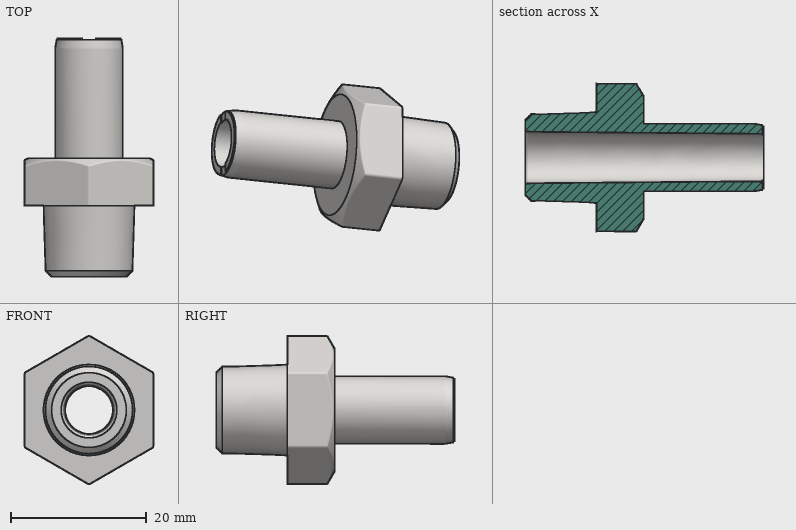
import cadquery as cq
import math

THREAD_LENGTH = 10.5
HEX_LENGTH = 7.0
STEM_LENGTH = 17.43
LIP_HEIGHT = 0.22

THREAD_BASE_RADIUS = 6.71
THREAD_TAPER = 1 / 32
THREAD_FACE_RADIUS = 5.5
THREAD_CHAMFER = 0.92

HEX_SIDES = 6
HEX_HALF_ANGLE = 180 / HEX_SIDES
ACROSS_FLATS = 19.0
HEX_CORNER_FILLET = 0.5
HEX_FACE_RADIUS = 8.95
HEX_CHAMFER_ANGLE = 30.0
HEX_CHAMFER_FILLET = 0.25

STEM_RADIUS = 5.0
STEM_CHAMFER_LENGTH = 1.27
STEM_CHAMFER_ANGLE = 10.0
STEM_CHAMFER_FILLET = 1.6
LIP_RADIUS = 4.68
LIP_GAP_WIDTH = 2.0

BORE_ENTRY_RADIUS = 3.8
BORE_EXIT_RADIUS = 3.5
BORE_CHAMFER = 0.3
BORE_CHAMFER_FILLET = 0.25

HEX_END = THREAD_LENGTH + HEX_LENGTH
STEM_END = HEX_END + STEM_LENGTH
TOTAL_LENGTH = STEM_END + LIP_HEIGHT


def revolve_profile(points):
    """Revolve a closed (radius, y) outline about the Y axis."""
    return cq.Workplane("XY").polyline(points).close().revolve(360, (0, 0), (0, 1))


def circle_edges_at(body, y, radius):
    """Select the circular edges of a body centred on the axis at height y with a given radius."""
    tolerance = 1e-3
    reach = radius + tolerance
    low_corner = (-reach, y - tolerance, -reach)
    high_corner = (reach, y + tolerance, reach)
    return body.edges(cq.selectors.BoxSelector(low_corner, high_corner, boundingbox=True))


def cylinder_along_y(start, length, radius):
    return cq.Workplane("XZ", origin=(0, start, 0)).circle(radius).extrude(-length)


def make_thread():
    chamfer_radius = THREAD_BASE_RADIUS - THREAD_TAPER * (THREAD_LENGTH - THREAD_CHAMFER)
    return revolve_profile([
        (0, 0),
        (THREAD_FACE_RADIUS, 0),
        (chamfer_radius, THREAD_CHAMFER),
        (THREAD_BASE_RADIUS, THREAD_LENGTH),
        (0, THREAD_LENGTH),
    ])


def make_hexagon():
    """Hexagon with flats facing +X and -X, chamfered on its stem side."""
    across_corners = ACROSS_FLATS / math.cos(math.radians(HEX_HALF_ANGLE))
    prism = (
        cq.Workplane("XZ", origin=(0, THREAD_LENGTH, 0))
        .transformed(rotate=(0, 0, HEX_HALF_ANGLE))
        .polygon(HEX_SIDES, across_corners)
        .extrude(-HEX_LENGTH)
        .edges("|Y")
        .fillet(HEX_CORNER_FILLET)
    )
    slope = math.tan(math.radians(HEX_CHAMFER_ANGLE))
    chamfer_depth = (across_corners - HEX_FACE_RADIUS) * slope
    chamfer_cone = revolve_profile([
        (0, THREAD_LENGTH - chamfer_depth),
        (across_corners, THREAD_LENGTH - chamfer_depth),
        (across_corners, HEX_END - chamfer_depth),
        (HEX_FACE_RADIUS, HEX_END),
        (0, HEX_END),
    ])
    hexagon = prism.intersect(chamfer_cone)
    return hexagon.faces("%CONE").edges("not %CIRCLE").fillet(HEX_CHAMFER_FILLET)


def make_stem():
    chamfer_start = STEM_END - STEM_CHAMFER_LENGTH
    chamfer_drop = STEM_CHAMFER_LENGTH * math.tan(math.radians(STEM_CHAMFER_ANGLE))
    stem = revolve_profile([
        (0, HEX_END),
        (STEM_RADIUS, HEX_END),
        (STEM_RADIUS, chamfer_start),
        (STEM_RADIUS - chamfer_drop, STEM_END),
        (0, STEM_END),
    ])
    return circle_edges_at(stem, chamfer_start, STEM_RADIUS).fillet(STEM_CHAMFER_FILLET)


def make_end_lip():
    """Raised end pad, split in two by a straight gap along Z."""
    pad = cylinder_along_y(STEM_END, LIP_HEIGHT, LIP_RADIUS)
    gap_center = (0, STEM_END + LIP_HEIGHT / 2, 0)
    gap = cq.Workplane("XY", origin=gap_center).box(LIP_GAP_WIDTH, LIP_HEIGHT, 2 * STEM_RADIUS)
    return pad.cut(gap)


def make_bore():
    """Tapered bore with a softened chamfer at the threaded end."""
    taper = (BORE_ENTRY_RADIUS - BORE_EXIT_RADIUS) / TOTAL_LENGTH
    chamfer_end_radius = BORE_ENTRY_RADIUS - taper * BORE_CHAMFER
    bore = revolve_profile([
        (0, 0),
        (BORE_ENTRY_RADIUS + BORE_CHAMFER, 0),
        (chamfer_end_radius, BORE_CHAMFER),
        (BORE_EXIT_RADIUS, TOTAL_LENGTH),
        (0, TOTAL_LENGTH),
    ])
    return circle_edges_at(bore, BORE_CHAMFER, chamfer_end_radius).fillet(BORE_CHAMFER_FILLET)


body = make_thread().union(make_hexagon()).union(make_stem()).union(make_end_lip())
result = body.cut(make_bore())